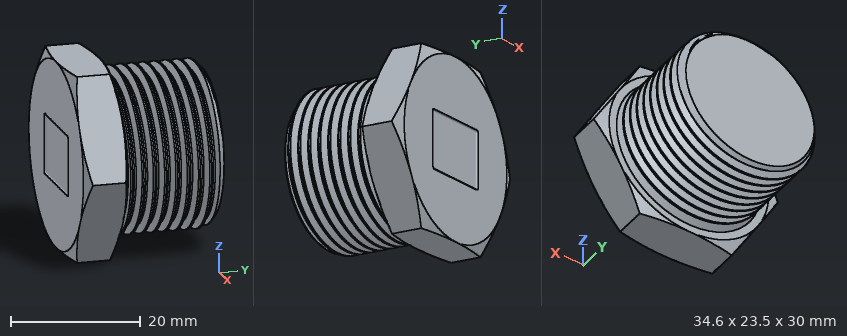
import cadquery as cq
import math


ACROSS_FLATS = 30.0
ACROSS_CORNERS = ACROSS_FLATS / math.cos(math.radians(30))
HEAD_LENGTH = 7.0
CORNER_CHAMFER_ANGLE = 20.0

TOTAL_LENGTH = 23.5
MAJOR_RADIUS = 26.44 / 2
INCH = 25.4
THREADS_PER_INCH = 14
THREAD_PITCH = INCH / THREADS_PER_INCH
DEPTH_PER_PITCH = 0.64
THREAD_DEPTH = DEPTH_PER_PITCH * THREAD_PITCH
MINOR_RADIUS = MAJOR_RADIUS - THREAD_DEPTH
FLANK_ANGLE = 55.0 / 2
FLANK_RUN = THREAD_DEPTH * math.tan(math.radians(FLANK_ANGLE))
CREST_WIDTH = (THREAD_PITCH - 2 * FLANK_RUN) / 2
THREAD_OVERLAP = 0.1
LAST_CREST_TO_END = 0.7
SPARE_TURNS = 2
NECK_RADIUS = 13.6

PANEL_WIDTH = 13.2
PANEL_HEIGHT = 9.65
PANEL_DEPTH = 0.35
PANEL_CORNER_RADIUS = 0.35
PANEL_FLOOR_FILLET = 0.25


def make_head():
    """Hexagon along +Z with its corners chamfered by a cone at both faces."""
    flat_radius = ACROSS_FLATS / 2
    corner_radius = ACROSS_CORNERS / 2
    chamfer_height = (corner_radius - flat_radius) * math.tan(math.radians(CORNER_CHAMFER_ANGLE))
    hexagon = cq.Workplane("XY").polygon(6, ACROSS_CORNERS).extrude(HEAD_LENGTH)
    chamfer_envelope = (
        cq.Workplane("XZ")
        .lineTo(flat_radius, 0)
        .lineTo(corner_radius, chamfer_height)
        .lineTo(corner_radius, HEAD_LENGTH - chamfer_height)
        .lineTo(flat_radius, HEAD_LENGTH)
        .lineTo(0, HEAD_LENGTH)
        .close()
        .revolve(360, (0, 0, 0), (0, 1, 0))
    )
    return hexagon.intersect(chamfer_envelope)


def make_core(length):
    """Shank of the given length at the thread root, with the 45 degree cone under the head."""
    cone_length = NECK_RADIUS - MINOR_RADIUS
    return (
        cq.Workplane("XZ")
        .lineTo(NECK_RADIUS, 0)
        .lineTo(NECK_RADIUS, HEAD_LENGTH)
        .lineTo(MINOR_RADIUS, HEAD_LENGTH + cone_length)
        .lineTo(MINOR_RADIUS, length)
        .lineTo(0, length)
        .close()
        .revolve(360, (0, 0, 0), (0, 1, 0))
    )


def make_ridge(start_height, turns):
    """Right-hand helical thread ridge with flat crests, starting on the +X side."""
    base_radius = MINOR_RADIUS - THREAD_OVERLAP
    base_half_width = CREST_WIDTH / 2 + FLANK_RUN * (1 + THREAD_OVERLAP / THREAD_DEPTH)
    helix = cq.Wire.makeHelix(THREAD_PITCH, turns * THREAD_PITCH, MINOR_RADIUS, cq.Vector(0, 0, start_height))
    return (
        cq.Workplane("XZ")
        .moveTo(base_radius, start_height - base_half_width)
        .lineTo(MAJOR_RADIUS, start_height - CREST_WIDTH / 2)
        .lineTo(MAJOR_RADIUS, start_height + CREST_WIDTH / 2)
        .lineTo(base_radius, start_height + base_half_width)
        .close()
        .sweep(cq.Workplane(obj=helix), isFrenet=True)
    )


def make_shank():
    """Threaded shank, cut to length with a 45 degree lead-in at the free end."""
    last_crest_height = TOTAL_LENGTH - LAST_CREST_TO_END
    turns_below = math.ceil((last_crest_height - HEAD_LENGTH) / THREAD_PITCH)
    start_height = last_crest_height - turns_below * THREAD_PITCH
    turns = turns_below + SPARE_TURNS
    uncut_length = start_height + (turns + 1) * THREAD_PITCH
    uncut_shank = make_core(uncut_length).union(make_ridge(start_height, turns))

    clear_radius = MAJOR_RADIUS + THREAD_DEPTH
    lead_in_envelope = (
        cq.Workplane("XZ")
        .lineTo(clear_radius, 0)
        .lineTo(clear_radius, TOTAL_LENGTH - (clear_radius - MINOR_RADIUS))
        .lineTo(MINOR_RADIUS, TOTAL_LENGTH)
        .lineTo(0, TOTAL_LENGTH)
        .close()
        .revolve(360, (0, 0, 0), (0, 1, 0))
    )
    return uncut_shank.intersect(lead_in_envelope)


def make_panel():
    """Solid removed from the head face: rounded rectangle with a filleted floor edge."""
    return (
        cq.Workplane("XY")
        .rect(PANEL_WIDTH, PANEL_HEIGHT)
        .extrude(PANEL_DEPTH)
        .edges("|Z")
        .fillet(PANEL_CORNER_RADIUS)
        .faces(">Z")
        .edges()
        .fillet(PANEL_FLOOR_FILLET)
    )


plug = make_head().union(make_shank()).cut(make_panel())

result = plug.rotate((0, 0, 0), (1, 0, 0), -90).solids()